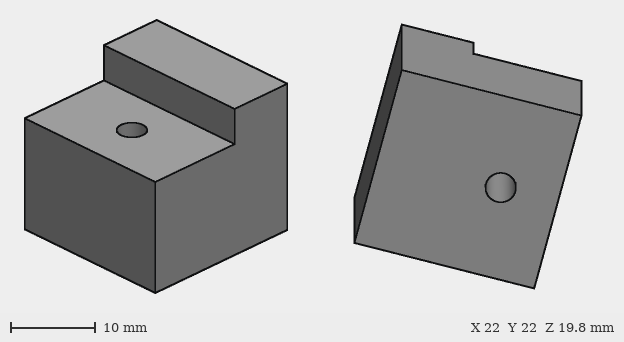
import cadquery as cq

width = 22.0
depth = 22.0
height = 19.75

wall_thickness = 8.8
ledge_height = 15.0
ledge_depth = depth - wall_thickness

hole_diameter = 3.6
hole_from_front = 7.0


def stepped_block():
    """L-shaped block centred in X and Y, resting on Z = 0."""
    front = -depth / 2
    back = depth / 2
    wall_face = front + ledge_depth
    return (
        cq.Workplane("YZ")
        .moveTo(front, 0)
        .lineTo(back, 0)
        .lineTo(back, height)
        .lineTo(wall_face, height)
        .lineTo(wall_face, ledge_height)
        .lineTo(front, ledge_height)
        .close()
        .extrude(width / 2, both=True)
    )


def ledge_hole():
    """Cylinder that passes through the ledge from bottom to top."""
    return (
        cq.Workplane("XY")
        .center(0, hole_from_front - depth / 2)
        .circle(hole_diameter / 2)
        .extrude(ledge_height)
    )


result = stepped_block().cut(ledge_hole())